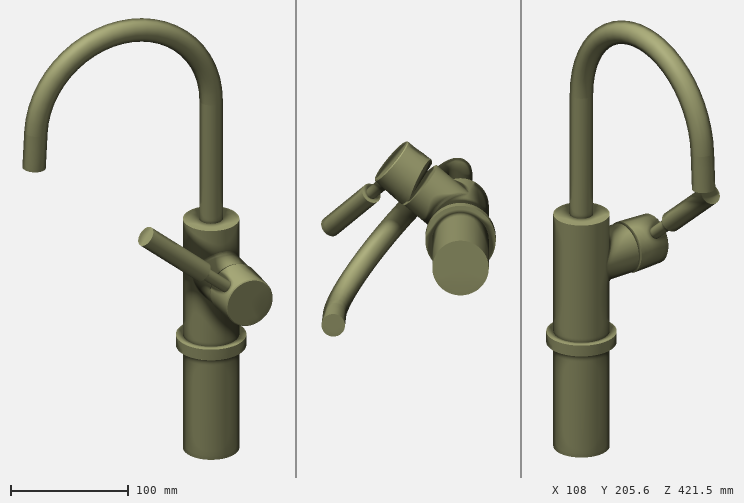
import cadquery as cq
import math

body_radius = 24.0
body_height = 217.0
branch_radius = 22.0
branch_height = 172.0
branch_end = 45.0
branch_blend = 2.5

flange_radius = 30.0
flange_bottom = 97.5
flange_thickness = 10.0

overall_height = 421.5
pipe_radius = 10.0
bend_radius = 82.0
outlet_tilt = 3.0
outlet_straight = 13.5
outlet_length = 20.0

cap_gap = 2.0
cap_start = branch_end + cap_gap
cap_end = 78.0
cap_start_radius = 22.8
cap_middle_radius = 22.5
cap_end_radius = 21.7
cap_edge_chamfer = 1.0
relief_length = 8.5
relief_depth = 19.0

lever_x = 66.5
lever_angle = 40.0
rod_radius = 5.25
grip_radius = 8.98
grip_start = 50.5
grip_length = 70.0

bend_height = overall_height - pipe_radius - bend_radius
tilt = math.radians(outlet_tilt)
outlet_direction = (0, -math.sin(tilt), -math.cos(tilt))
lever = math.radians(lever_angle)
lever_direction = cq.Vector(0, -math.cos(lever), math.sin(lever))
cap_centre = cq.Vector(lever_x, 0, branch_height)


def bend_point(angle):
    """Point (y, z) on the bend's centre line, with angle in radians from the riser."""
    y = -bend_radius + bend_radius * math.cos(angle)
    z = bend_height + bend_radius * math.sin(angle)
    return y, z


bend_end = bend_point(math.pi - tilt)
outlet_start = (
    bend_end[0] + outlet_straight * outlet_direction[1],
    bend_end[1] + outlet_straight * outlet_direction[2],
)


def make_body():
    column = cq.Workplane("XY").circle(body_radius).extrude(body_height)
    branch = (
        cq.Workplane("YZ")
        .center(0, branch_height)
        .circle(branch_radius)
        .extrude(branch_end)
    )
    joint_box = cq.selectors.BoxSelector(
        (0, -body_radius, branch_height - body_radius),
        (body_radius + branch_blend, body_radius, branch_height + body_radius),
    )
    joined = column.union(branch)
    joint = joined.edges(joint_box).edges("not %LINE")
    return joint.fillet(branch_blend)


def make_flange():
    return (
        cq.Workplane("XY", origin=(0, 0, flange_bottom))
        .circle(flange_radius)
        .circle(body_radius)
        .extrude(flange_thickness)
    )


def make_spout():
    path = (
        cq.Workplane("YZ")
        .moveTo(0, body_height)
        .lineTo(*bend_point(0))
        .threePointArc(bend_point(math.pi / 2), bend_end)
        .lineTo(*outlet_start)
    )
    return cq.Workplane("XY", origin=(0, 0, body_height)).circle(pipe_radius).sweep(path)


def make_outlet():
    end_plane = cq.Plane(origin=(0, *outlet_start), xDir=(1, 0, 0), normal=outlet_direction)
    return cq.Workplane(end_plane).circle(pipe_radius).extrude(outlet_length)


def make_cap():
    barrel = (
        cq.Workplane("XY")
        .moveTo(cap_start, 0)
        .lineTo(cap_start, cap_start_radius)
        .threePointArc(((cap_start + cap_end) / 2, cap_middle_radius), (cap_end, cap_end_radius))
        .lineTo(cap_end, 0)
        .close()
        .revolve(360, (cap_start, 0, 0), (cap_end, 0, 0))
        .faces(">X")
        .chamfer(cap_edge_chamfer)
        .translate((0, 0, branch_height))
    )
    relief_middle = cap_centre - lever_direction * cap_start_radius
    relief_point = cq.Vector(cap_start + relief_length, relief_middle.y, relief_middle.z)
    relief_normal = cq.Vector(-relief_depth, 0, 0) - lever_direction * relief_length
    relief_plane = cq.Plane(
        origin=relief_point,
        xDir=lever_direction.cross(relief_normal),
        normal=relief_normal,
    )
    relief = cq.Workplane(relief_plane).circle(2 * cap_start_radius).extrude(2 * cap_start_radius)
    return barrel.cut(relief)


def make_lever_cylinder(radius, start, length):
    plane = cq.Plane(
        origin=cap_centre + lever_direction * start,
        xDir=(1, 0, 0),
        normal=lever_direction,
    )
    return cq.Workplane(plane).circle(radius).extrude(length)


def make_rod(cap):
    """Rod from the cap surface to the grip, its foot shaped to the cap."""
    return make_lever_cylinder(rod_radius, 0, grip_start).cut(cap)


def make_grip():
    return make_lever_cylinder(grip_radius, grip_start, grip_length)


body = make_body()
flange = make_flange()
spout = make_spout()
outlet = make_outlet()
cap = make_cap()
rod = make_rod(cap)
grip = make_grip()

result = cq.Compound.makeCompound(
    [
        body.solids().val(),
        flange.solids().val(),
        spout.solids().val(),
        outlet.solids().val(),
        cap.solids().val(),
        rod.solids().val(),
        grip.solids().val(),
    ]
)